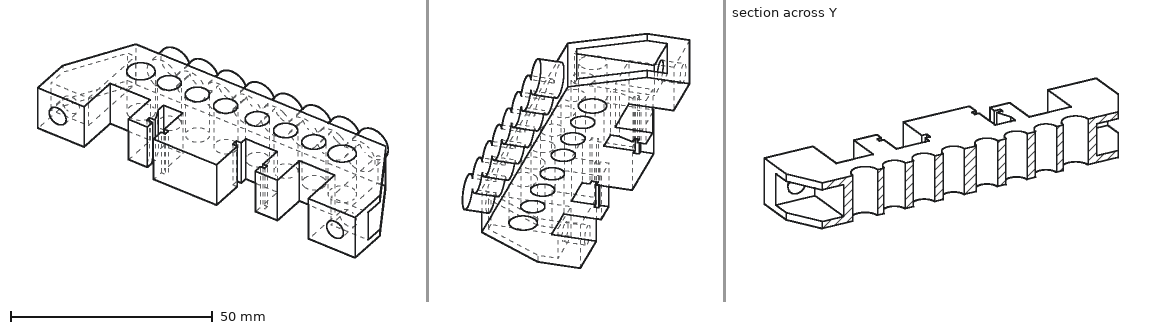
import cadquery as cq

length = 95.0
thickness = 12.5
body_depth = 29.8
bevel_length = 10.1
bevel_depth = 17.5

slot_roof = -16.9
foot_end = -28.5
clip_end = -26.6
foot_width = 13.9
left_clip_start = 25.8
left_clip_root_end = 29.8
left_clip_end = 31.5
block_start = 35.5
block_end = 54.4
right_clip_start = 63.8
right_clip_end = 70.5
right_foot_start = 81.0
clip_slope_start = -19.2

clip_notch_top = -23.2
clip_notch_width = 1.1
clip_notch_depth = 1.2
block_left_notch_top = -25.0
block_left_notch_width = 1.4
block_left_notch_depth = 1.2
block_right_notch_top = -18.9
block_right_notch_width = 1.7
block_right_notch_depth = 1.4

row_center = length / 2
pitch = 8.5
boss_count = 8
boss_diameter = 9.0
boss_height = 6.0
holes_per_side = 4
middle_hole_gap = 9.5
hole_setback = 8.55
terminal_hole_diameter = 6.0
end_hole_diameter = 7.0

mount_hole_diameter = 5.0
mount_hole_inset = 6.0
pocket_wall = 2.0
pocket_end = -22.7
pocket_reach = 11.2


def box(x_start, x_end, y_start, y_end, height):
    """Block between two X and two Y positions, centred on Z = 0."""
    return (
        cq.Workplane("XY")
        .box(x_end - x_start, y_end - y_start, height)
        .translate(((x_start + x_end) / 2, (y_start + y_end) / 2, 0))
    )


def make_body():
    """Bar with bevelled back corners, two feet, two clips and a centre block."""
    outline = [
        (bevel_length, 0),
        (length - bevel_length, 0),
        (length, -bevel_depth),
        (length, foot_end),
        (right_foot_start, foot_end),
        (right_foot_start, slot_roof),
        (right_clip_end, slot_roof),
        (right_clip_end, clip_end),
        (right_clip_start, clip_end),
        (right_clip_start, slot_roof),
        (block_end, slot_roof),
        (block_end, -body_depth),
        (block_start, -body_depth),
        (block_start, slot_roof),
        (left_clip_root_end, slot_roof),
        (left_clip_root_end, clip_slope_start),
        (left_clip_end, clip_notch_top),
        (left_clip_end, clip_end),
        (left_clip_start, clip_end),
        (left_clip_start, slot_roof),
        (foot_width, slot_roof),
        (foot_width, foot_end),
        (0, foot_end),
        (0, -bevel_depth),
    ]
    return cq.Workplane("XY").polyline(outline).close().extrude(thickness / 2, both=True)


def notch(x_start, x_end, top, width):
    """Groove between two X positions, starting at top and running down in Y."""
    return box(x_start, x_end, top - width, top, thickness)


def make_notches():
    """Grooves in the clip and block faces that line the two inner slots."""
    left_clip = notch(left_clip_root_end, left_clip_end, clip_notch_top, clip_notch_width)
    right_clip = notch(
        right_clip_start, right_clip_start + clip_notch_depth, clip_notch_top, clip_notch_width
    )
    block_left = notch(
        block_start, block_start + block_left_notch_depth, block_left_notch_top, block_left_notch_width
    )
    block_right = notch(
        block_end - block_right_notch_depth, block_end, block_right_notch_top, block_right_notch_width
    )
    return [left_clip, right_clip, block_left, block_right]


def make_bosses():
    """Row of overlapping round bosses standing on the back face."""
    first = row_center - pitch * (boss_count - 1) / 2
    return [
        cq.Workplane("XZ").center(first + i * pitch, 0).circle(boss_diameter / 2).extrude(-boss_height)
        for i in range(boss_count)
    ]


def make_terminal_holes():
    """Through holes along Z in two mirrored groups; the outermost is larger."""
    holes = []
    for side in (-1, 1):
        for i in range(holes_per_side):
            x = row_center + side * (middle_hole_gap / 2 + i * pitch)
            is_end = i == holes_per_side - 1
            diameter = end_hole_diameter if is_end else terminal_hole_diameter
            hole = cq.Workplane("XY").center(x, -hole_setback).circle(diameter / 2)
            holes.append(hole.extrude(thickness / 2, both=True))
    return holes


def make_end_pockets():
    """Hollows open to the two end faces, leaving an even wall above and below."""
    height = thickness - 2 * pocket_wall
    left = box(0, pocket_reach, pocket_end, -pocket_wall, height)
    right = box(length - pocket_reach, length, pocket_end, -pocket_wall, height)
    return [left, right]


def make_mount_holes():
    """Holes along Y from the foot faces into the end pockets."""
    depth = pocket_end - foot_end
    return [
        cq.Workplane("XZ", origin=(x, foot_end, 0)).circle(mount_hole_diameter / 2).extrude(-depth)
        for x in (mount_hole_inset, length - mount_hole_inset)
    ]


result = make_body()
for boss in make_bosses():
    result = result.union(boss)
for cutter in make_notches() + make_terminal_holes() + make_end_pockets() + make_mount_holes():
    result = result.cut(cutter)